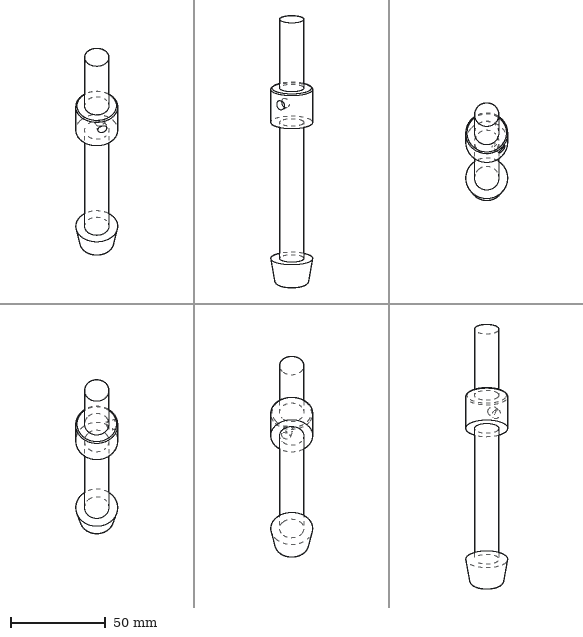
import cadquery as cq

total_length = 146.0
rod_diameter = 12.9

collar_diameter = 22.2
collar_bottom = 89.1
collar_length = 19.0
collar_chamfer = 0.7

screw_hole_diameter = 5.0
screw_hole_height = 101.5

foot_top_diameter = collar_diameter
foot_bottom_diameter = 17.5
foot_height = 14.0
foot_fillet = 2.2


def make_rod():
    return cq.Workplane("XY").circle(rod_diameter / 2).extrude(total_length)


def make_collar():
    collar = (
        cq.Workplane("XY")
        .workplane(offset=collar_bottom)
        .circle(collar_diameter / 2)
        .extrude(collar_length)
    )
    return collar.faces(">Z").edges().chamfer(collar_chamfer)


def make_screw_hole():
    return (
        cq.Workplane("YZ")
        .center(0, screw_hole_height)
        .circle(screw_hole_diameter / 2)
        .extrude(collar_diameter / 2)
    )


def make_foot():
    profile = [
        (0, 0),
        (foot_bottom_diameter / 2, 0),
        (foot_top_diameter / 2, foot_height),
        (0, foot_height),
    ]
    foot = cq.Workplane("XZ").polyline(profile).close().revolve(360, (0, 0), (0, 1))
    return foot.faces("<Z").edges().fillet(foot_fillet)


drilled_collar = make_collar().cut(make_screw_hole())
result = make_rod().union(drilled_collar).union(make_foot())